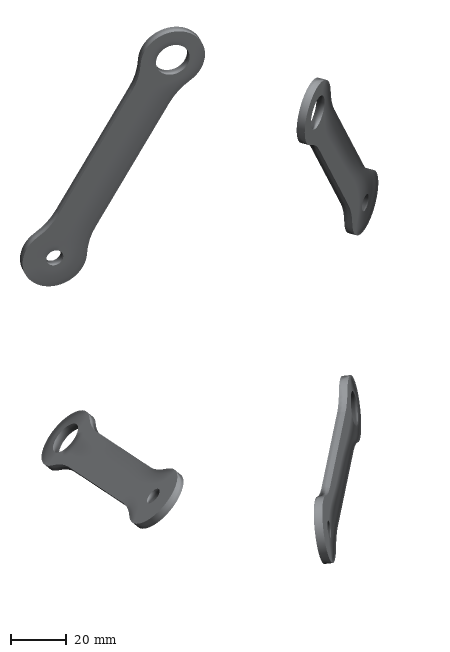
import cadquery as cq
import math

thickness = 3.1
overall_height = 101.2
tilt_angle = 60.0
end_radius = 12.1
arm_half_width = 8.1
blend_radius = 24.3
large_hole_diameter = 12.7
small_hole_diameter = 6.4

hole_spacing = (overall_height - 2 * end_radius) / math.sin(math.radians(tilt_angle))
half_spacing = hole_spacing / 2

blend_center_distance = end_radius + blend_radius
blend_center_offset = arm_half_width + blend_radius
blend_run = math.sqrt(blend_center_distance**2 - blend_center_offset**2)
blend_angle = math.atan2(blend_center_offset, blend_run)


def blend_points(end, side):
    """Tangent point on the eye, middle of the blend arc, tangent point on the arm."""
    center_along = half_spacing - blend_run
    middle_angle = (math.pi / 2 - blend_angle) / 2
    eye = (half_spacing - end_radius * math.cos(blend_angle), end_radius * math.sin(blend_angle))
    middle = (
        center_along + blend_radius * math.sin(middle_angle),
        blend_center_offset - blend_radius * math.cos(middle_angle),
    )
    arm = (center_along, arm_half_width)
    return [(end * along, side * across) for along, across in (eye, middle, arm)]


def link_plate():
    """Plate lying along local Y, centred between its two eyes."""
    tip = half_spacing + end_radius
    upper_right = blend_points(1, 1)
    upper_left = blend_points(-1, 1)
    lower_left = blend_points(-1, -1)
    lower_right = blend_points(1, -1)
    return (
        cq.Workplane("YZ", origin=(-thickness / 2, 0, 0))
        .moveTo(*upper_right[0])
        .threePointArc(upper_right[1], upper_right[2])
        .lineTo(*upper_left[2])
        .threePointArc(upper_left[1], upper_left[0])
        .threePointArc((-tip, 0), lower_left[0])
        .threePointArc(lower_left[1], lower_left[2])
        .lineTo(*lower_right[2])
        .threePointArc(lower_right[1], lower_right[0])
        .threePointArc((tip, 0), upper_right[0])
        .close()
        .extrude(thickness)
    )


def hole(along, diameter):
    """Cutter through the plate at a position along its centre line."""
    return (
        cq.Workplane("YZ", origin=(-thickness / 2, along, 0))
        .circle(diameter / 2)
        .extrude(thickness)
    )


plate = link_plate()
plate = plate.cut(hole(half_spacing, large_hole_diameter))
plate = plate.cut(hole(-half_spacing, small_hole_diameter))

result = plate.rotate((0, 0, 0), (1, 0, 0), tilt_angle)